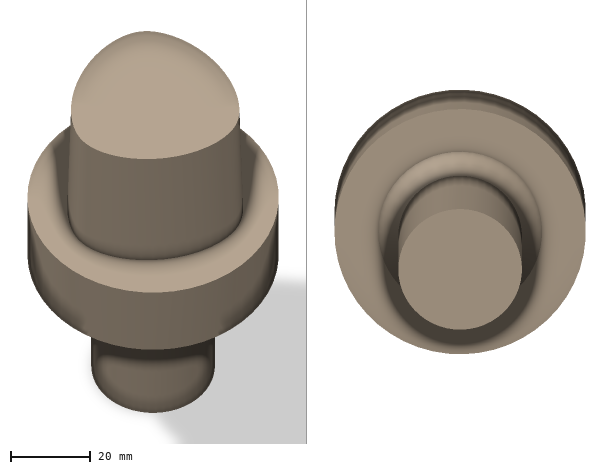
import cadquery as cq
import math

total_height = 103.0
stem_diameter = 31.0
stem_height = 38.0
neck_height = 5.0
neck_top_diameter = stem_diameter + 2 * neck_height
flange_diameter = 63.0
flange_height = 22.0

shank_base_width = 44.1
shank_top_width = 42.2
lobe_rise = 1.3
section_points = 36

neck_base_z = stem_height
flange_base_z = neck_base_z + neck_height
flange_top_z = flange_base_z + flange_height


def lobed_point(width, angle):
    """Point whose tangent lies width / 2 + lobe_rise * cos(3 * angle) from the axis."""
    reach = width / 2 + lobe_rise * math.cos(3 * angle)
    slope = -3 * lobe_rise * math.sin(3 * angle)
    forward = reach * math.cos(angle) - slope * math.sin(angle)
    sideways = reach * math.sin(angle) + slope * math.cos(angle)
    return cq.Vector(sideways, -forward, 0)


def lobed_wire(width, z):
    step = 2 * math.pi / section_points
    points = [lobed_point(width, i * step) for i in range(section_points)]
    outline = cq.Edge.makeSpline(points, periodic=True)
    return cq.Wire.assembleEdges([outline]).translate(cq.Vector(0, 0, z))


def make_shank():
    base = lobed_wire(shank_base_width, flange_top_z)
    top = lobed_wire(shank_top_width, total_height)
    return cq.Workplane(obj=cq.Solid.makeLoft([base, top], True))


def make_round_body():
    return (
        cq.Workplane("XZ")
        .moveTo(0, 0)
        .lineTo(stem_diameter / 2, 0)
        .lineTo(stem_diameter / 2, neck_base_z)
        .lineTo(neck_top_diameter / 2, flange_base_z)
        .lineTo(flange_diameter / 2, flange_base_z)
        .lineTo(flange_diameter / 2, flange_top_z)
        .lineTo(0, flange_top_z)
        .close()
        .revolve(360, (0, 0), (0, 1))
    )


result = make_round_body().union(make_shank())